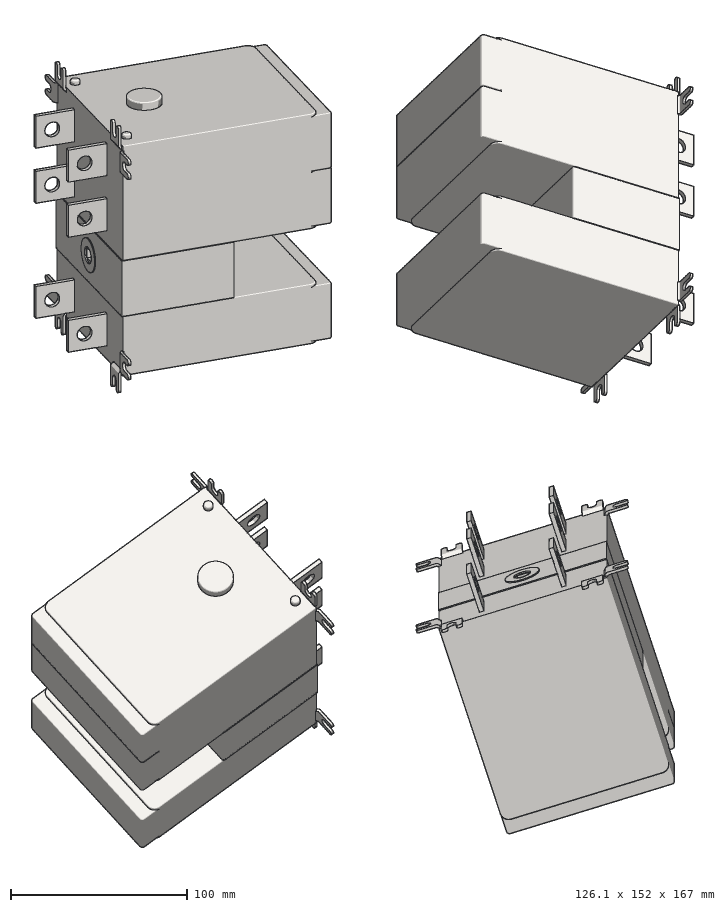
import cadquery as cq
import math

BODY_WIDTH = 100.2
BODY_DEPTH = 128.3
BODY_TOP = 72.0
MODULE_HEIGHT = 34.5
PLATE_THICKNESS = 1.3
PLATE_SETBACK = 8.4
PLATE_CORNER_RADIUS = 5.0
MODULE_CORNER_RADIUS = 2.0
EDGE_ROUND = 0.7

HOUSING_HEIGHT = 34.9
HOUSING_BACK = 68.5
HOUSING_FRONT = -0.7
HOUSING_CORNER_RADIUS = 1.3

BOSS_DIAMETER = 16.0
BOSS_LENGTH = 11.2
BOSS_ROUND = 2.0
DISC_DIAMETER = 20.4
DISC_THICKNESS = 0.7
DRIVE_LEVEL = -17.5
DRIVE_SQUARE = 6.3
DRIVE_RECESS_DIAMETER = 10.0
DRIVE_RECESS_DEPTH = 0.8

BLADE_THICKNESS = 2.7
BLADE_HEIGHT = 20.0
BLADE_REACH = 23.7
BLADE_SPACING = 49.1
BLADE_HOLE_DIAMETER = 9.0
BLADE_HOLE_FROM_TIP = 10.0

BUTTON_DIAMETER = 20.4
BUTTON_HEIGHT = 4.7
BUTTON_ROUND = 0.8
BUTTON_FROM_FRONT = 33.2
SCREW_DIAMETER = 5.7
SCREW_HEIGHT = 2.5
SCREW_ROUND = 1.2
SCREW_SPACING = 78.2
SCREW_FROM_FRONT = 6.7

TAB_WIDTH = 12.4
TAB_THICKNESS = 1.7
TAB_GAP = 0.3
TAB_FLAT_LENGTH = 11.9
TAB_BEND_RADIUS = 1.8
TAB_BEND_ANGLE = 45.0
TAB_ROOT_LENGTH = 4.3
TAB_SLOT_WIDTH = 5.3
TAB_SLOT_DEPTH = 8.7
TAB_TIP_ROUND = 1.7
OVERALL_WIDTH = 126.1
OVERALL_HEIGHT = 167.0
SIDE_TAB_CENTER = 62.8
END_TAB_CENTER = 42.0

UPPER_BOTTOM = BODY_TOP - 2 * MODULE_HEIGHT - 2 * PLATE_THICKNESS
HOUSING_BOTTOM = UPPER_BOTTOM - HOUSING_HEIGHT
FIRST_POLE = BODY_TOP - PLATE_THICKNESS - MODULE_HEIGHT / 2
LOWER_POLE = HOUSING_BOTTOM - PLATE_THICKNESS - MODULE_HEIGHT / 2
POLE_LEVELS = [FIRST_POLE, FIRST_POLE - MODULE_HEIGHT, LOWER_POLE]


def block(width, front, back, bottom, height):
    """Box centred on X, spanning front to back in Y and rising from bottom."""
    return (
        cq.Workplane("XY", origin=(0, (front + back) / 2, bottom))
        .rect(width, back - front)
        .extrude(height)
    )


def cylinder_along_y(diameter, start, end, z):
    """Cylinder running in +Y from start to end at X = 0."""
    return (
        cq.Workplane("XZ", origin=(0, start, z))
        .circle(diameter / 2)
        .extrude(start - end)
    )


def round_top_and_bottom(body):
    """Round the top and bottom edges of a block, leaving its front edges sharp."""
    return body.faces("<Z or >Z").edges("not <Y").fillet(EDGE_ROUND)


def pole_stack(top, pole_count):
    """Stacked pole modules around a shorter core that shows as a plate above and below."""
    modules_height = pole_count * MODULE_HEIGHT
    bottom = top - modules_height - 2 * PLATE_THICKNESS
    core_back = BODY_DEPTH - PLATE_SETBACK
    core = block(BODY_WIDTH, 0, core_back, bottom, top - bottom)
    stack = round_top_and_bottom(core.edges("|Z and >Y").fillet(PLATE_CORNER_RADIUS))
    for index in range(pole_count):
        module_bottom = bottom + PLATE_THICKNESS + index * MODULE_HEIGHT
        module = block(BODY_WIDTH, 0, BODY_DEPTH, module_bottom, MODULE_HEIGHT)
        module = module.edges("|Z and >Y").fillet(MODULE_CORNER_RADIUS)
        stack = stack.union(round_top_and_bottom(module))
    return stack


def housing():
    """Mechanism housing with its shaft boss, front disc and square drive hole."""
    body = (
        block(BODY_WIDTH, HOUSING_FRONT, HOUSING_BACK, HOUSING_BOTTOM, HOUSING_HEIGHT)
        .edges("|Z and >Y")
        .fillet(HOUSING_CORNER_RADIUS)
    )
    boss_end = HOUSING_BACK + BOSS_LENGTH
    boss = (
        cylinder_along_y(BOSS_DIAMETER, HOUSING_BACK, boss_end, DRIVE_LEVEL)
        .faces(">Y")
        .edges()
        .fillet(BOSS_ROUND)
    )
    disc_face = HOUSING_FRONT - DISC_THICKNESS
    disc = cylinder_along_y(DISC_DIAMETER, disc_face, HOUSING_FRONT, DRIVE_LEVEL)
    recess = cylinder_along_y(
        DRIVE_RECESS_DIAMETER, disc_face, disc_face + DRIVE_RECESS_DEPTH, DRIVE_LEVEL
    )
    drive_hole = (
        cq.Workplane("XZ", origin=(0, disc_face, DRIVE_LEVEL))
        .rect(DRIVE_SQUARE, DRIVE_SQUARE)
        .extrude(disc_face - boss_end)
    )
    return body.union(boss).union(disc).cut(recess).cut(drive_hole)


def terminal_blade(x, z):
    """Upright blade projecting forward, with a cross hole near its tip."""
    hole_y = BLADE_HOLE_FROM_TIP - BLADE_REACH
    blade = cq.Workplane("XY").box(BLADE_THICKNESS, BLADE_REACH, BLADE_HEIGHT)
    blade = blade.translate((x, -BLADE_REACH / 2, z))
    hole = (
        cq.Workplane("YZ", origin=(x, hole_y, z))
        .circle(BLADE_HOLE_DIAMETER / 2)
        .extrude(BLADE_THICKNESS / 2, both=True)
    )
    return blade.cut(hole)


def top_disc(x, y, diameter, height, edge_round):
    """Round-edged disc standing on the top face of the body."""
    return (
        cq.Workplane("XY", origin=(x, y, BODY_TOP))
        .circle(diameter / 2)
        .extrude(height)
        .faces(">Z")
        .edges()
        .fillet(edge_round)
    )


def mounting_tab():
    """Slotted tab pointing to +Z with its tip at Z = 0, bent back into the body."""
    back = -TAB_GAP
    front = back - TAB_THICKNESS
    inner_radius = TAB_BEND_RADIUS - TAB_THICKNESS

    def bend_point(radius, degrees):
        turn = math.radians(degrees)
        return (
            front + TAB_BEND_RADIUS - radius * math.cos(turn),
            -TAB_FLAT_LENGTH - radius * math.sin(turn),
        )

    def root_point(radius):
        turn = math.radians(TAB_BEND_ANGLE)
        y, z = bend_point(radius, TAB_BEND_ANGLE)
        return (y + TAB_ROOT_LENGTH * math.sin(turn), z - TAB_ROOT_LENGTH * math.cos(turn))

    tab = (
        cq.Workplane("YZ")
        .moveTo(front, 0)
        .lineTo(front, -TAB_FLAT_LENGTH)
        .threePointArc(
            bend_point(TAB_BEND_RADIUS, TAB_BEND_ANGLE / 2),
            bend_point(TAB_BEND_RADIUS, TAB_BEND_ANGLE),
        )
        .lineTo(*root_point(TAB_BEND_RADIUS))
        .lineTo(*root_point(inner_radius))
        .lineTo(*bend_point(inner_radius, TAB_BEND_ANGLE))
        .threePointArc(
            bend_point(inner_radius, TAB_BEND_ANGLE / 2),
            (back, -TAB_FLAT_LENGTH),
        )
        .lineTo(back, 0)
        .close()
        .extrude(TAB_WIDTH / 2, both=True)
    )
    slot_radius = TAB_SLOT_WIDTH / 2
    slot = (
        cq.Workplane("XZ", origin=(0, back, 0))
        .moveTo(-slot_radius, 0)
        .lineTo(-slot_radius, slot_radius - TAB_SLOT_DEPTH)
        .threePointArc((0, -TAB_SLOT_DEPTH), (slot_radius, slot_radius - TAB_SLOT_DEPTH))
        .lineTo(slot_radius, 0)
        .close()
        .extrude(TAB_THICKNESS)
    )
    return tab.cut(slot).faces(">Z").edges("|Y").fillet(TAB_TIP_ROUND)


def place_tab(tab, angle, x, z):
    """Turn the tab about the Y axis, then move its tip to the given place."""
    return tab.rotate((0, 0, 0), (0, 1, 0), angle).translate((x, 0, z))


result = pole_stack(BODY_TOP, 2).union(pole_stack(HOUSING_BOTTOM, 1)).union(housing())

for level in POLE_LEVELS:
    for side in (-1, 1):
        result = result.union(terminal_blade(side * BLADE_SPACING / 2, level))

button = top_disc(0, BUTTON_FROM_FRONT, BUTTON_DIAMETER, BUTTON_HEIGHT, BUTTON_ROUND)
result = result.union(button)
for side in (-1, 1):
    screw_x = side * SCREW_SPACING / 2
    screw_head = top_disc(screw_x, SCREW_FROM_FRONT, SCREW_DIAMETER, SCREW_HEIGHT, SCREW_ROUND)
    result = result.union(screw_head)

plain_tab = mounting_tab()
for side in (-1, 1):
    for end in (-1, 1):
        end_turn = 0 if end > 0 else 180
        end_tab = place_tab(plain_tab, end_turn, side * END_TAB_CENTER, end * OVERALL_HEIGHT / 2)
        side_tab = place_tab(plain_tab, side * 90, side * OVERALL_WIDTH / 2, end * SIDE_TAB_CENTER)
        result = result.union(end_tab).union(side_tab)